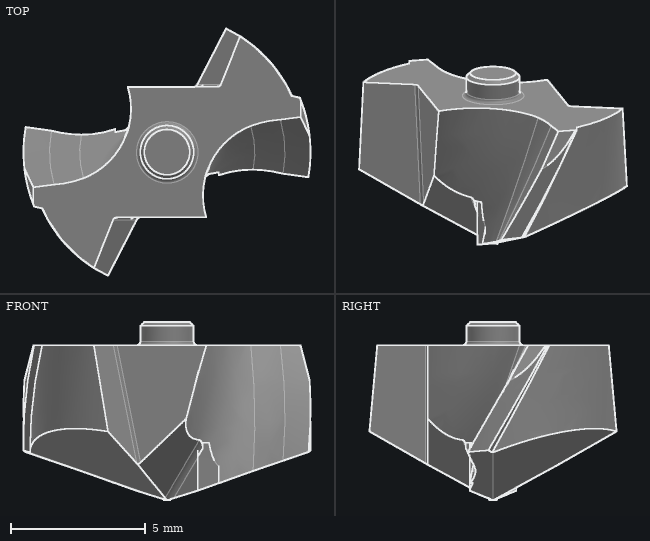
import cadquery as cq
import math

TIP_DEPTH = 5.78
HEAD_DEPTH = TIP_DEPTH + 0.11
TWIST_RATE = 6.168

MARGIN_RADIUS = 5.35
BODY_RADIUS = 5.1
MARGIN_START = 12.0
MARGIN_END = 22.3
BACK_ANGLE = 100.0
MARGIN_STEP = 2.0

FLUTE_HEEL = (1.47, -2.43)
FLUTE_BOTTOM = (1.84, -0.03)
FLUTE_RISE = (3.11, 0.97)
FLUTE_LIP_MIDDLE = (3.66, 1.13)
FLUTE_LIP = (4.22, 1.21)
OUTSIDE = 6.42

TRIM_X = 4.98
TRIM_SLOPE = 0.26

NOTCH_Y = 2.43
NOTCH_X = 1.97
NOTCH_WALL_RUN = 0.4
NOTCH_WALL_LEAN = 0.2
NOTCH_FILLET = 0.15

LIP_RELIEF = (-0.35, -0.05)
FLANK_RELIEF = (-0.35, -0.39)
HEEL_RELIEF = (0.96, -0.97)
GASH_RUN = 0.76
GASH_FILLET = 0.21
ROUNDING_START = 1.15
ROUNDING_MIDDLE = (-1.45, 0.83)
ROUNDING_END = (-1.93, 0.75)
ROUNDING_DEPTH = 3.64

PIN_RADIUS = 1.0
PIN_HEIGHT = 0.87
PIN_CHAMFER = 0.15
PIN_FLARE = 0.15

REACH = 21.4


def polar(radius, degrees):
    angle = math.radians(degrees)
    return (radius * math.cos(angle), radius * math.sin(angle))


def half_turn(solid):
    return solid.rotate((0, 0, 0), (0, 0, 1), 180)


def half_space(origin, normal):
    """Large block lying on the normal side of a plane."""
    plane = cq.Plane(origin=origin, normal=normal)
    return cq.Workplane(plane).rect(2 * REACH, 2 * REACH).extrude(REACH)


def twisted(outline):
    """Extrude a closed outline down from the shoulder with the flute twist."""
    solid = outline.twistExtrude(HEAD_DEPTH, -TWIST_RATE * HEAD_DEPTH)
    return solid.mirror("XY")


def body_blank():
    middle = (MARGIN_START + MARGIN_END) / 2
    step_end = MARGIN_END + MARGIN_STEP
    return (
        cq.Workplane("XY")
        .moveTo(*polar(MARGIN_RADIUS, MARGIN_START))
        .threePointArc(polar(MARGIN_RADIUS, middle), polar(MARGIN_RADIUS, MARGIN_END))
        .lineTo(*polar(BODY_RADIUS, step_end))
        .threePointArc(polar(BODY_RADIUS, BACK_ANGLE), polar(BODY_RADIUS, 180 + MARGIN_START))
        .lineTo(*polar(MARGIN_RADIUS, 180 + MARGIN_START))
        .threePointArc(polar(MARGIN_RADIUS, 180 + middle), polar(MARGIN_RADIUS, 180 + MARGIN_END))
        .lineTo(*polar(BODY_RADIUS, 180 + step_end))
        .threePointArc(polar(BODY_RADIUS, 180 + BACK_ANGLE), polar(BODY_RADIUS, 360 + MARGIN_START))
        .close()
    )


def flute_outline():
    """Concave rake curve from the heel to the cutting corner, closed outside the body."""
    return (
        cq.Workplane("XY")
        .moveTo(1.71, -3.42)
        .lineTo(*FLUTE_HEEL)
        .threePointArc(FLUTE_BOTTOM, FLUTE_RISE)
        .threePointArc(FLUTE_LIP_MIDDLE, FLUTE_LIP)
        .lineTo(OUTSIDE, 1.5)
        .lineTo(OUTSIDE, -OUTSIDE)
        .lineTo(OUTSIDE / 2, -OUTSIDE)
        .close()
    )


def notch():
    wall_x = NOTCH_X + NOTCH_WALL_RUN * (OUTSIDE - NOTCH_Y)
    points = [(-NOTCH_X, -NOTCH_Y), (-wall_x, -OUTSIDE), (OUTSIDE, -OUTSIDE), (OUTSIDE, -NOTCH_Y)]
    lean = NOTCH_WALL_LEAN * HEAD_DEPTH
    lower_points = [(x + lean, y) for x, y in points]
    solid = (
        cq.Workplane("XY").polyline(points).close()
        .workplane(offset=-HEAD_DEPTH).polyline(lower_points).close()
        .loft(ruled=True)
    )
    corner = cq.selectors.NearestToPointSelector((-NOTCH_X + lean / 2, -NOTCH_Y, -HEAD_DEPTH / 2))
    return solid.edges(corner).fillet(NOTCH_FILLET)


def above_tip_face(rise):
    """Space above a plane through the tip, given its rise per unit of x and of y."""
    return half_space((0, 0, -TIP_DEPTH), (-rise[0], -rise[1], 1))


def gash_rounding():
    """Cutter that rounds the gash wall into the flute, on the -X blade."""
    start_y = GASH_RUN * ROUNDING_START
    outer_y = 2.14
    return (
        cq.Workplane("XY", origin=(0, 0, -ROUNDING_DEPTH))
        .moveTo(-ROUNDING_START, start_y)
        .threePointArc(ROUNDING_MIDDLE, ROUNDING_END)
        .lineTo(ROUNDING_END[0], outer_y)
        .lineTo(-ROUNDING_START, outer_y)
        .close()
        .extrude(-REACH)
    )


def tip_half():
    solid = half_space((0, 0, 0), (-GASH_RUN, -1, 0))
    for rise in (LIP_RELIEF, FLANK_RELIEF, HEEL_RELIEF):
        solid = solid.intersect(above_tip_face(rise))
    return solid.cut(gash_rounding())


def gash_fillet():
    """Fill between the gash wall and the heel face, rounded by a cylinder along their corner."""
    along = cq.Vector(1, -GASH_RUN, HEEL_RELIEF[0] - HEEL_RELIEF[1] * GASH_RUN).normalized()
    wall = cq.Vector(-GASH_RUN, -1, 0).normalized()
    heel = cq.Vector(HEEL_RELIEF[0], HEEL_RELIEF[1], -1).normalized()
    half_angle = wall.getAngle(heel) / 2
    inset = GASH_FILLET * math.tan(half_angle)
    into_heel = (wall - heel * wall.dot(heel)).normalized()
    into_wall = (heel - wall * heel.dot(wall)).normalized()
    tip = cq.Vector(0, 0, -TIP_DEPTH)
    bisector = (wall + heel).normalized()
    centre = tip + bisector * (GASH_FILLET / math.cos(half_angle))
    corners = [tip, tip + into_heel * inset, centre, tip + into_wall * inset]
    prism = cq.Solid.extrudeLinear(cq.Wire.makePolygon(corners, close=True), [], along * REACH)
    round_cut = cq.Solid.makeCylinder(GASH_FILLET, REACH, centre, along)
    facing_lip = half_turn(above_tip_face(LIP_RELIEF))
    return cq.Workplane(prism.cut(round_cut)).intersect(facing_lip).intersect(above_tip_face((0, 0)))


def tip_envelope():
    half = tip_half()
    envelope = half.union(half_turn(half))
    fill = gash_fillet()
    return envelope.union(fill).union(half_turn(fill))


def pin():
    profile = (
        cq.Workplane("XZ")
        .moveTo(0, 0)
        .lineTo(PIN_RADIUS + PIN_FLARE, 0)
        .radiusArc((PIN_RADIUS, PIN_FLARE), PIN_FLARE)
        .lineTo(PIN_RADIUS, PIN_HEIGHT - PIN_CHAMFER)
        .lineTo(PIN_RADIUS - PIN_CHAMFER, PIN_HEIGHT)
        .lineTo(0, PIN_HEIGHT)
        .close()
    )
    return profile.revolve(360, (0, 0, 0), (0, 1, 0))


head = twisted(body_blank())
flute = twisted(flute_outline())
trim = half_space((TRIM_X, 0, 0), (1, 0, TRIM_SLOPE))
for cutter in (flute, notch(), trim):
    head = head.cut(cutter).cut(half_turn(cutter))
head = head.intersect(tip_envelope())
result = head.union(pin())